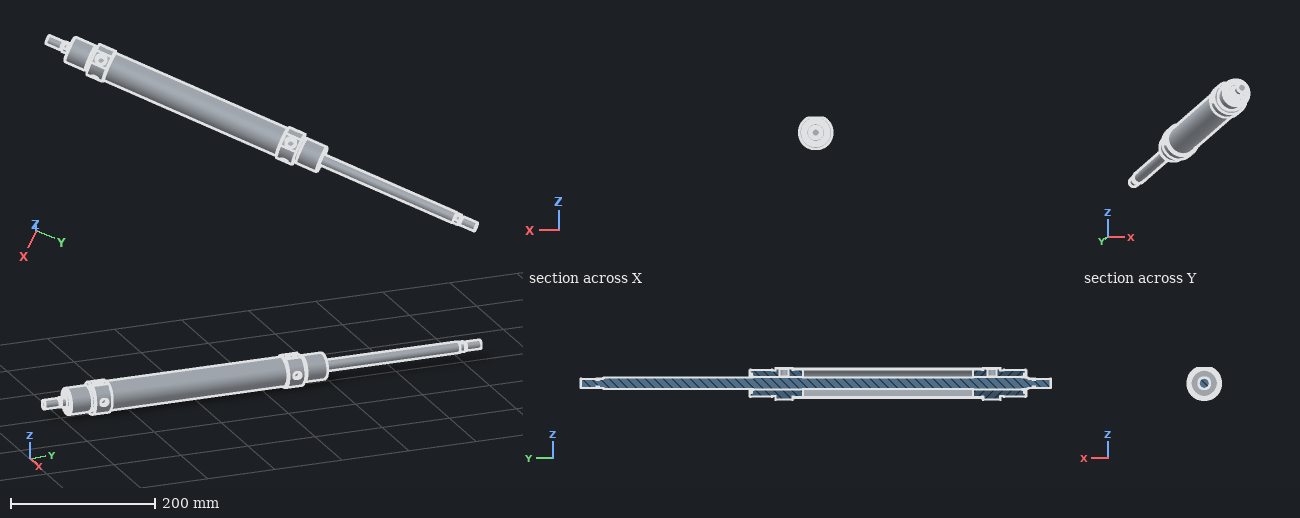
import cadquery as cq
ROD_LENGTH = 651.0
FRONT_FACE_Y = -291.5
BACK_FACE_Y = 92.0
TUBE_CENTER_Y = (FRONT_FACE_Y + BACK_FACE_Y) / 2
HEAD_TIP_OFFSET = (BACK_FACE_Y - FRONT_FACE_Y) / 2

TUBE_DIAMETER = 41.5
BORE_DIAMETER = 38.0

NOSE_DIAMETER = 38.0
NOSE_LENGTH = 32.0
INNER_CHAMFER = 0.5
TIP_CHAMFER = 1.0
GROOVE_DIAMETER = 36.0
GROOVE_LENGTH = 4.0
COLLAR_DIAMETER = 46.0
COLLAR_LENGTH = 24.0
TUBE_GAP = 1.0
SPIGOT_LENGTH = 13.0

RECESS_DIAMETER = 26.0
RECESS_CHAMFER = 1.6
RECESS_DEPTH = 3.0
SEAT_DIAMETER = 18.0
SEAT_DEPTH = 2.0

HEIGHT_OVER_FLAT = 44.0
PORT_FLAT_Z = HEIGHT_OVER_FLAT - COLLAR_DIAMETER / 2
PORT_MOUTH_DIAMETER = 15.0
PORT_DIAMETER = 12.0
PORT_DEPTH = 12.0

SIDE_MOUTH_DIAMETER = 12.0
SIDE_HOLE_DIAMETER = 9.0
SIDE_HOLE_DEPTH = 5.0

ROD_DIAMETER = 16.0
THREAD_DIAMETER = 13.0
THREAD_LENGTH = 22.0
THREAD_CHAMFER = 0.5
RELIEF_DIAMETER = 10.0
RELIEF_LENGTH = 2.5
NECK_DIAMETER = 15.0
NECK_LENGTH = 8.0
FLATS_LENGTH = 6.0
ACROSS_FLATS = 13.0

NOSE_INNER = HEAD_TIP_OFFSET - NOSE_LENGTH
COLLAR_OUTER = NOSE_INNER - GROOVE_LENGTH
COLLAR_INNER = COLLAR_OUTER - COLLAR_LENGTH
COLLAR_MIDDLE = (COLLAR_OUTER + COLLAR_INNER) / 2
TUBE_END = COLLAR_INNER - TUBE_GAP
SPIGOT_END = TUBE_END - SPIGOT_LENGTH
RECESS_FLOOR = HEAD_TIP_OFFSET - RECESS_DEPTH

ROD_TIP = ROD_LENGTH / 2
THREAD_END = ROD_TIP - THREAD_LENGTH
RELIEF_END = THREAD_END - RELIEF_LENGTH
NECK_END = RELIEF_END - NECK_LENGTH


def turned(outline):
    """Solid turned about the Y axis from an outline of (diameter, y) points."""
    points = [(diameter / 2, y) for diameter, y in outline]
    return cq.Workplane("XY").polyline(points).close().revolve(360, (0, 0, 0), (0, 1, 0))


def chamfered_hole(mouth_diameter, diameter, depth):
    """Cutter going down from the origin, with a 45 degree chamfer at its mouth."""
    chamfer = (mouth_diameter - diameter) / 2
    outline = [
        (0, 0),
        (mouth_diameter / 2, 0),
        (diameter / 2, -chamfer),
        (diameter / 2, -depth),
        (0, -depth),
    ]
    return cq.Workplane("XZ").polyline(outline).close().revolve(360, (0, 0, 0), (0, 1, 0))


def make_tube():
    return turned([
        (BORE_DIAMETER, -TUBE_END),
        (TUBE_DIAMETER, -TUBE_END),
        (TUBE_DIAMETER, TUBE_END),
        (BORE_DIAMETER, TUBE_END),
    ])


def turned_head():
    return turned([
        (ROD_DIAMETER, SPIGOT_END),
        (BORE_DIAMETER, SPIGOT_END),
        (BORE_DIAMETER, COLLAR_INNER),
        (COLLAR_DIAMETER, COLLAR_INNER),
        (COLLAR_DIAMETER, COLLAR_OUTER),
        (GROOVE_DIAMETER, COLLAR_OUTER),
        (GROOVE_DIAMETER, NOSE_INNER),
        (NOSE_DIAMETER - 2 * INNER_CHAMFER, NOSE_INNER),
        (NOSE_DIAMETER, NOSE_INNER + INNER_CHAMFER),
        (NOSE_DIAMETER, HEAD_TIP_OFFSET - TIP_CHAMFER),
        (NOSE_DIAMETER - 2 * TIP_CHAMFER, HEAD_TIP_OFFSET),
        (RECESS_DIAMETER + 2 * RECESS_CHAMFER, HEAD_TIP_OFFSET),
        (RECESS_DIAMETER, HEAD_TIP_OFFSET - RECESS_CHAMFER),
        (RECESS_DIAMETER, RECESS_FLOOR),
        (SEAT_DIAMETER, RECESS_FLOOR),
        (SEAT_DIAMETER, RECESS_FLOOR - SEAT_DEPTH),
        (ROD_DIAMETER, RECESS_FLOOR - SEAT_DEPTH),
    ])


def cut_port(head):
    above_flat = (
        cq.Workplane("XY")
        .box(COLLAR_DIAMETER, COLLAR_LENGTH, COLLAR_DIAMETER, centered=(True, True, False))
        .translate((0, COLLAR_MIDDLE, PORT_FLAT_Z))
    )
    port = chamfered_hole(PORT_MOUTH_DIAMETER, PORT_DIAMETER, PORT_DEPTH)
    return head.cut(above_flat).cut(port.translate((0, COLLAR_MIDDLE, PORT_FLAT_Z)))


def cut_side_holes(head):
    hole = chamfered_hole(SIDE_MOUTH_DIAMETER, SIDE_HOLE_DIAMETER, SIDE_HOLE_DEPTH)
    for side in (-1, 1):
        sideways = hole.rotate((0, 0, 0), (0, 1, 0), side * 90)
        head = head.cut(sideways.translate((side * COLLAR_DIAMETER / 2, COLLAR_MIDDLE, 0)))
    return head


def make_head():
    """Head at the +Y end of a tube centred on the origin."""
    return cut_side_holes(cut_port(turned_head()))


def make_rod():
    half_outline = [
        (0, ROD_TIP),
        (THREAD_DIAMETER - 2 * THREAD_CHAMFER, ROD_TIP),
        (THREAD_DIAMETER, ROD_TIP - THREAD_CHAMFER),
        (THREAD_DIAMETER, THREAD_END),
        (RELIEF_DIAMETER, THREAD_END),
        (RELIEF_DIAMETER, RELIEF_END),
        (NECK_DIAMETER, RELIEF_END),
        (NECK_DIAMETER, NECK_END),
        (ROD_DIAMETER, NECK_END),
    ]
    other_half = [(diameter, -y) for diameter, y in reversed(half_outline)]
    rod = turned(half_outline + other_half)

    beyond_flat = cq.Workplane("XY").box(NECK_DIAMETER, FLATS_LENGTH, NECK_DIAMETER)
    flats_y = RELIEF_END - FLATS_LENGTH / 2
    flat_z = (ACROSS_FLATS + NECK_DIAMETER) / 2
    for end in (-1, 1):
        for side in (-1, 1):
            rod = rod.cut(beyond_flat.translate((0, end * flats_y, side * flat_z)))
    return rod


to_tube = (0, TUBE_CENTER_Y, 0)
tube = make_tube().translate(to_tube)
head = make_head()
heads = [placed.translate(to_tube) for placed in (head, head.mirror("XZ"))]
rod = make_rod()

result = cq.Compound.makeCompound([tube.val(), *[body.val() for body in heads], rod.val()])